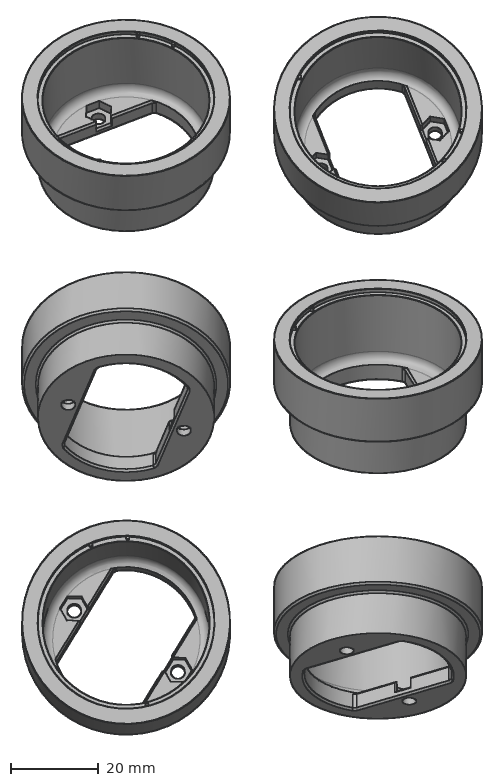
import cadquery as cq
import math

flange_diameter = 47.5
neck_diameter = 40.2
total_height = 23.31
neck_height = 10.9
edge_chamfer = 0.5

recess_diameter = 40.2
recess_depth = 1.0
rim_chamfer = 0.1
bore_diameter = 38.0
bore_fillet = 2.2
floor_height = 4.5

opening_diameter = bore_diameter - 2 * bore_fillet
opening_width = 21.8

screw_spacing = 27.6
screw_diameter = 3.2
nut_across_corners = 6.5
nut_floor_height = 2.0
hexagon_half_angle = math.radians(30)

pip_height = 0.75
pip_diameter = 0.8
pip_circle_radius = 19.8
pip_angles = (120, 145, -45)

shoulder_height = total_height - recess_depth
opening_radius = opening_diameter / 2
flat_x = opening_width / 2


def cylinder(diameter, bottom, top):
    """Solid cylinder about the Z axis between two heights."""
    return cq.Workplane("XY").workplane(offset=bottom).circle(diameter / 2).extrude(top - bottom)


def make_body():
    """Turned body: flange, neck and stepped bore, with the floor still closed."""
    flange_radius = flange_diameter / 2
    neck_radius = neck_diameter / 2
    recess_radius = recess_diameter / 2
    bore_radius = bore_diameter / 2
    fillet_mid_offset = bore_fillet * math.sqrt(0.5)
    fillet_middle = (
        opening_radius + fillet_mid_offset,
        floor_height + bore_fillet - fillet_mid_offset,
    )
    profile = (
        cq.Workplane("XZ")
        .lineTo(neck_radius, 0)
        .lineTo(neck_radius, neck_height - edge_chamfer)
        .lineTo(neck_radius + edge_chamfer, neck_height)
        .lineTo(flange_radius - edge_chamfer, neck_height)
        .lineTo(flange_radius, neck_height + edge_chamfer)
        .lineTo(flange_radius, total_height - rim_chamfer)
        .lineTo(flange_radius - rim_chamfer, total_height)
        .lineTo(recess_radius + rim_chamfer, total_height)
        .lineTo(recess_radius, total_height - rim_chamfer)
        .lineTo(recess_radius, shoulder_height)
        .lineTo(bore_radius + rim_chamfer, shoulder_height)
        .lineTo(bore_radius, shoulder_height - rim_chamfer)
        .lineTo(bore_radius, floor_height + bore_fillet)
        .threePointArc(fillet_middle, (opening_radius, floor_height))
        .lineTo(0, floor_height)
        .close()
    )
    return profile.revolve(360, (0, 0, 0), (0, 1, 0))


def flared_slab(half_width, angle):
    """Slab about the Z axis whose two sides flare out at the floor's top and bottom faces."""
    wide = half_width + edge_chamfer
    half_profile = [
        (wide, 0),
        (half_width, edge_chamfer),
        (half_width, floor_height - edge_chamfer),
        (wide, floor_height),
    ]
    outline = half_profile + [(-x, z) for x, z in reversed(half_profile)]
    slab = cq.Workplane("XZ").polyline(outline).close().extrude(flange_diameter / 2, both=True)
    return slab.rotate((0, 0, 0), (0, 0, 1), angle)


def make_floor_opening():
    """Two-flat opening with chamfered edges and bevelled corners between flats and arcs."""
    countersink = cq.Workplane("XY").add(
        cq.Solid.makeCone(opening_radius + edge_chamfer, opening_radius, edge_chamfer)
    )
    opening = cylinder(opening_diameter, 0, floor_height).union(countersink)
    opening = opening.intersect(flared_slab(flat_x, 0))

    corner_angle = math.acos(flat_x / opening_radius)
    corner_y = opening_radius * math.sin(corner_angle)
    bevel_angle = corner_angle / 2
    bevel_start_y = corner_y - edge_chamfer
    bevel_distance = flat_x * math.cos(bevel_angle) + bevel_start_y * math.sin(bevel_angle)
    for sign in (-1, 1):
        opening = opening.intersect(flared_slab(bevel_distance, sign * math.degrees(bevel_angle)))
    return opening


def make_nut_pocket():
    """Hexagonal pocket open toward the floor opening, with a flared mouth and a screw hole."""
    screw_x = screw_spacing / 2
    corner_y = nut_across_corners / 2
    outer_x = screw_x + corner_y * math.cos(hexagon_half_angle)
    hex_slope = math.tan(hexagon_half_angle)
    side_y = corner_y - (screw_x - flat_x) * hex_slope

    bevel_start_x = flat_x + edge_chamfer * math.cos(hexagon_half_angle)
    bevel_start_y = side_y + edge_chamfer * math.sin(hexagon_half_angle)
    mouth_x = flat_x - edge_chamfer
    mouth_y = bevel_start_y + (bevel_start_x - mouth_x) * hex_slope
    half_outline = [
        (mouth_x, mouth_y),
        (bevel_start_x, bevel_start_y),
        (screw_x, corner_y),
        (outer_x, corner_y / 2),
    ]
    outline = half_outline + [(x, -y) for x, y in reversed(half_outline)]
    prism = cq.Workplane("XY").polyline(outline).close().extrude(floor_height)
    depth_profile = [
        (mouth_x, floor_height),
        (mouth_x, nut_floor_height - 2 * edge_chamfer),
        (flat_x + edge_chamfer, nut_floor_height),
        (outer_x, nut_floor_height),
        (outer_x, floor_height),
    ]
    depth = cq.Workplane("XZ").polyline(depth_profile).close().extrude(nut_across_corners, both=True)
    screw_hole = cylinder(screw_diameter, 0, floor_height).translate((screw_x, 0, 0))
    return prism.intersect(depth).union(screw_hole)


def make_pip(angle):
    """Round pip on the recess shoulder, partly sunk into the recess wall."""
    pip = cylinder(pip_diameter, shoulder_height, shoulder_height + pip_height)
    return pip.translate((pip_circle_radius, 0, 0)).rotate((0, 0, 0), (0, 0, 1), angle)


nut_pocket = make_nut_pocket()

result = make_body()
result = result.cut(make_floor_opening())
result = result.cut(nut_pocket).cut(nut_pocket.mirror("YZ"))
for pip_angle in pip_angles:
    result = result.union(make_pip(pip_angle))